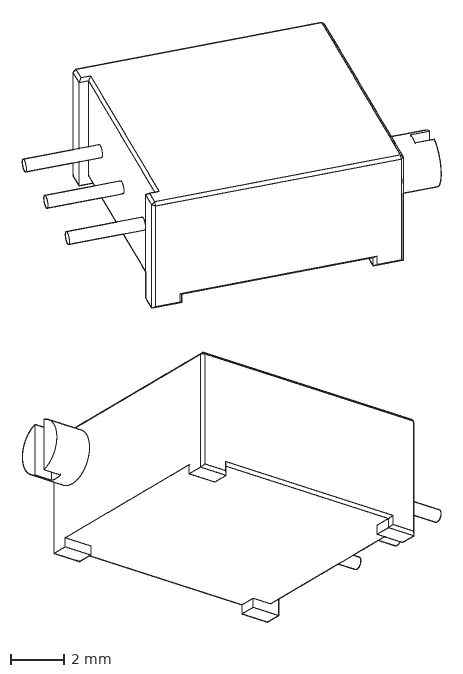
import cadquery as cq

body_width = 9.53
body_depth = 10.0
body_height = 4.84
edge_chamfer = 0.12

foot_width = 0.84
foot_depth = 1.2
standoff = 0.38

pin_count = 3
pin_pitch = 2.54
pin_diameter = 0.5
pin_length = 2.64
pin_height = 2.41

screw_diameter = 2.19
screw_length = 1.53
screw_x = 3.48
screw_below_top = 1.28
slot_width = 0.56
slot_depth = 0.77


def box_between(x_range, y_range, z_range):
    """Axis-aligned box given by its limits along each axis."""
    size = [high - low for low, high in (x_range, y_range, z_range)]
    corner = (x_range[0], y_range[0], z_range[0])
    return cq.Workplane("XY").box(*size, centered=False).translate(corner)


def cylinder_along_y(x, z, diameter, y_start, y_end):
    """Round bar parallel to Y."""
    length = y_end - y_start
    bar = cq.Solid.makeCylinder(diameter / 2, length, cq.Vector(x, y_start, z), cq.Vector(0, 1, 0))
    return cq.Workplane(bar)


def make_housing():
    half_width = body_width / 2
    inner_half_width = half_width - foot_width
    full_x = (-half_width, half_width)
    inner_x = (-inner_half_width, inner_half_width)
    full_y = (0, body_depth)
    full_z = (0, body_height)

    housing = box_between(full_x, full_y, full_z)
    housing = housing.cut(box_between(inner_x, (0, standoff), full_z))
    housing = housing.cut(box_between(inner_x, full_y, (0, standoff)))
    housing = housing.cut(box_between(full_x, (foot_depth, body_depth - foot_depth), (0, standoff)))
    outline = housing.faces(">Z or <X or >X").edges()
    return outline.chamfer(edge_chamfer)


def make_pin(x):
    return cylinder_along_y(x, pin_height, pin_diameter, -pin_length, standoff)


def make_screw():
    screw_end = body_depth + screw_length
    screw_z = body_height - screw_below_top
    screw = cylinder_along_y(screw_x, screw_z, screw_diameter, body_depth, screw_end)
    slot = box_between(
        (screw_x - slot_width / 2, screw_x + slot_width / 2),
        (screw_end - slot_depth, screw_end),
        (screw_z - screw_diameter / 2, screw_z + screw_diameter / 2),
    )
    return screw.cut(slot)


result = make_housing().union(make_screw())
for index in range(pin_count):
    pin_x = (index - (pin_count - 1) / 2) * pin_pitch
    result = result.union(make_pin(pin_x))